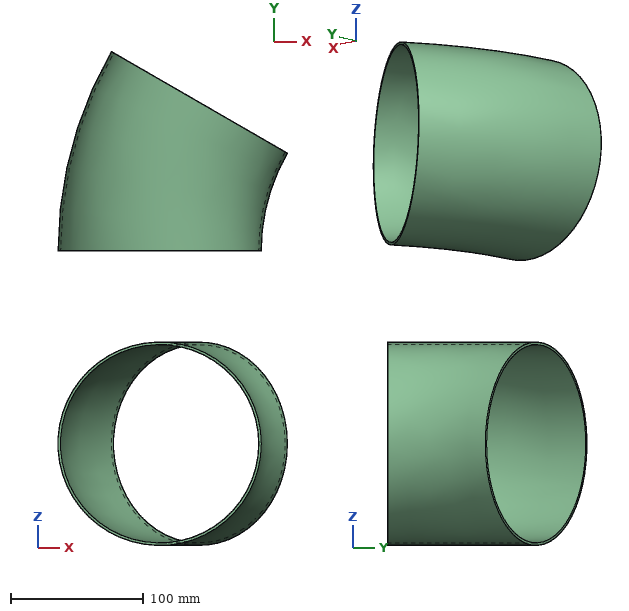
import cadquery as cq

outer_diameter = 154.0
wall_thickness = 2.0
bend_radius = 225.0
bend_angle = 30.0

outer_radius = outer_diameter / 2
inner_radius = outer_radius - wall_thickness


def pipe_elbow():
    """Ring section on the XZ plane, swept toward +Y and bent toward +X."""
    ring = cq.Workplane("XZ").circle(outer_radius).circle(inner_radius)
    axis_start = (bend_radius, 0)
    axis_end = (bend_radius, -1)
    return ring.revolve(bend_angle, axis_start, axis_end)


result = pipe_elbow()